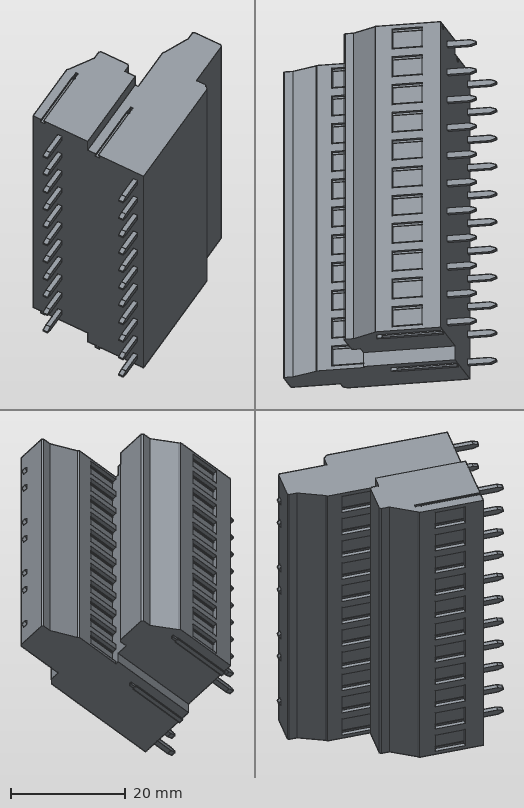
import cadquery as cq

pole_count = 11
row_length = 55.9
pitch = row_length / pole_count
tier_shift = pitch / 2

tier_split_x = 11.05
rear_wall_x = 11.6
depth = 22.3
step_y = 16.4
front_cap_x = (2.9, 8.9)
rear_cap_x = (13.9, 19.8)
back_ledge_y = 22.6
front_shoulder_y = (11.85, 16.25)
rear_shoulder_y = (25.15, 29.75)
shoulder_lip = (0.25, 0.25)
front_bevel = 0.3
rear_bevel = 0.25
back_bevel = 0.7
front_top_y = 18.0
rear_top_y = 31.45

window_height = 3.65
window_depth = 0.7
window_ledge = 0.35
inner_depth = 0.2
front_window_y = (3.3, 8.75)
rear_window_y = (step_y, 22.25)

pin_width = 0.9
pin_thickness = 1.0
pin_length = 5.1
pin_taper = 1.0
pin_tip_thickness = 0.3
front_pin_x = 5.45
rear_pin_x = front_pin_x + 3 * pitch

rail_offset = 1.95
rail_top_y = 11.85
rail_flare_end_y = 10.8
rail_neck = 0.4
rail_width = 0.95
rail_foot = 0.8
rail_taper = 0.3
rail_height = 0.6
groove_depth = 0.7

ridge_boundaries = (1, 2, 4, 5, 7, 8, 10)
ridge_x = 18.4
ridge_width = 0.9
ridge_base = 1.2
ridge_height = 0.5


def front_tier():
    """Low tier: sloped -X shoulder, bevelled cap and a step down to the rear tier."""
    cap_min_x, cap_max_x = front_cap_x
    slope_low_y, slope_high_y = front_shoulder_y
    lip_x, lip_y = shoulder_lip
    outline = [
        (0, 0), (0, slope_low_y - lip_y), (lip_x, slope_low_y), (cap_min_x, slope_high_y),
        (cap_min_x, front_top_y - front_bevel), (cap_min_x + front_bevel, front_top_y),
        (cap_max_x - front_bevel, front_top_y), (cap_max_x, front_top_y - front_bevel),
        (cap_max_x, step_y), (tier_split_x, step_y), (tier_split_x, 0),
    ]
    tier = cq.Workplane("XY").polyline(outline).close().extrude(row_length)
    return tier.translate((0, 0, tier_shift))


def rear_tier():
    """Tall tier: sloped -X shoulder, bevelled cap and a ledge on its +X side."""
    cap_min_x, cap_max_x = rear_cap_x
    slope_low_y, slope_high_y = rear_shoulder_y
    lip_x, lip_y = shoulder_lip
    outline = [
        (tier_split_x, 0), (tier_split_x, step_y), (rear_wall_x, step_y),
        (rear_wall_x, slope_low_y - lip_y), (rear_wall_x + lip_x, slope_low_y), (cap_min_x, slope_high_y),
        (cap_min_x, rear_top_y - rear_bevel), (cap_min_x + rear_bevel, rear_top_y),
        (cap_max_x - rear_bevel, rear_top_y), (cap_max_x, rear_top_y - rear_bevel),
        (cap_max_x, back_ledge_y), (depth - back_bevel, back_ledge_y),
        (depth, back_ledge_y - back_bevel), (depth, 0),
    ]
    return cq.Workplane("XY").polyline(outline).close().extrude(row_length)


def window(face_x, y_range, center_z):
    """Stepped recess in a -X face: a shallow pocket with a slightly deeper middle."""
    y_low, y_high = y_range
    y_size = y_high - y_low
    inner_height = window_height - 2 * window_ledge
    outer = cq.Workplane("XY").box(window_depth, y_size, window_height, centered=(False, False, True))
    inner = cq.Workplane("XY").box(
        window_depth + inner_depth, y_size, inner_height, centered=(False, False, True))
    return outer.union(inner).translate((face_x, y_low, center_z))


def pin(center_x, center_z):
    half = pin_thickness / 2
    tip = pin_tip_thickness / 2
    taper_y = pin_taper - pin_length
    outline = [
        (0, center_z - half), (0, center_z + half), (taper_y, center_z + half),
        (-pin_length, center_z + tip), (-pin_length, center_z - tip), (taper_y, center_z - half),
    ]
    return (cq.Workplane("YZ").polyline(outline).close().extrude(pin_width)
            .translate((center_x - pin_width / 2, 0, 0)))


def rail(center_x, face_z, height):
    """Flared bar reaching height below face_z, with a plain neck at its upper end."""
    neck = rail_neck / 2
    wide = rail_width / 2
    foot = rail_foot / 2
    flare = height - rail_taper
    outline = [
        (-neck, 0), (-wide, -flare), (-foot, -height),
        (foot, -height), (wide, -flare), (neck, 0),
    ]
    flared = cq.Workplane("XZ").polyline(outline).close().extrude(-rail_flare_end_y)
    plain = cq.Workplane("XY").box(rail_neck, rail_top_y, height, centered=(True, False, False))
    return flared.union(plain.translate((0, 0, -height))).translate((center_x, 0, face_z))


def ridge(center_z):
    """Short triangular ridge along X on top of the rear tier."""
    half = ridge_base / 2
    outline = [
        (rear_top_y, center_z - half), (rear_top_y, center_z + half),
        (rear_top_y + ridge_height, center_z),
    ]
    return (cq.Workplane("YZ").polyline(outline).close().extrude(ridge_width)
            .translate((ridge_x - ridge_width / 2, 0, 0)))


result = front_tier().union(rear_tier())

for pole in range(pole_count):
    rear_z = (pole + 0.5) * pitch
    front_z = rear_z + tier_shift
    result = result.cut(window(0, front_window_y, front_z))
    result = result.cut(window(rear_wall_x, rear_window_y, rear_z))
    result = result.union(pin(front_pin_x, front_z))
    result = result.union(pin(rear_pin_x, rear_z))

for tier_x, bottom_z in ((0, tier_shift), (tier_split_x, 0)):
    rail_x = tier_x + rail_offset
    result = result.cut(rail(rail_x, bottom_z + row_length, groove_depth))
    result = result.union(rail(rail_x, bottom_z, rail_height))

for boundary in ridge_boundaries:
    result = result.union(ridge(row_length - boundary * pitch))